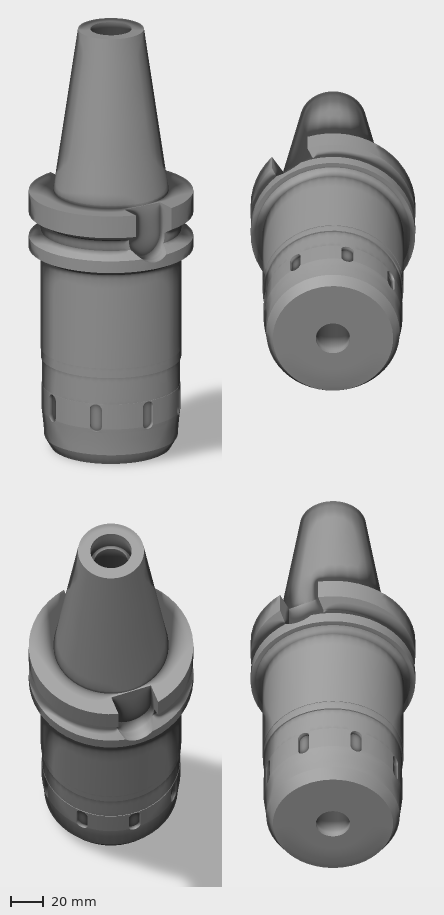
import cadquery as cq
import math


total_height = 266.8
gauge_height = 165.0
gauge_radius = 35.0
taper_ratio = 7 / 24
small_end_radius = gauge_radius - (total_height - gauge_height) * taper_ratio / 2

flange_diameter = 100.0
flange_radius = flange_diameter / 2
flange_top = 163.3
flange_bottom = 127.0
groove_radius = 42.7
groove_top = 145.1
groove_bottom = 138.7
groove_side_angle = 30
groove_side_height = (flange_radius - groove_radius) * math.tan(math.radians(groove_side_angle))

drive_slot_count = 2
drive_slot_width = 25.5
drive_slot_floor = 35.5
drive_slot_bottom = 131.3

end_ring_radius = 42.7
body_radius = 43.0
body_top = 123.3
body_bottom = 63.2
end_ring_bottom = 57.0
underside_radius = 47.0

collar_radius = 42.0
nut_radius = 42.2
nut_top = 40.0
nut_band_bottom = 24.0
skirt_top = 21.5
skirt_top_radius = 42.0
skirt_mid_radius = 41.0
skirt_bottom = 7.0
skirt_bottom_radius = 40.5
nose_radius = 36.5

spanner_slot_count = 8
spanner_slot_width = 7.5
spanner_slot_top = 39.8
spanner_slot_bottom = 22.1
spanner_slot_floor = 39.5

cutter_clearance = 2.7

bore_radius = 10.5
counterbore_radius = 12.5
counterbore_depth = 13.0


def make_turned_body():
    return (
        cq.Workplane("XZ")
        .lineTo(nose_radius, 0)
        .lineTo(skirt_bottom_radius, skirt_bottom)
        .threePointArc(
            (skirt_mid_radius, (skirt_bottom + skirt_top) / 2),
            (skirt_top_radius, skirt_top),
        )
        .lineTo(nut_radius, nut_band_bottom)
        .lineTo(nut_radius, nut_top)
        .lineTo(collar_radius, nut_top)
        .lineTo(collar_radius, end_ring_bottom)
        .lineTo(end_ring_radius, end_ring_bottom)
        .lineTo(end_ring_radius, body_bottom)
        .lineTo(body_radius, body_bottom)
        .lineTo(body_radius, body_top)
        .lineTo(underside_radius, flange_bottom)
        .lineTo(flange_radius, flange_bottom)
        .lineTo(flange_radius, groove_bottom - groove_side_height)
        .lineTo(groove_radius, groove_bottom)
        .lineTo(groove_radius, groove_top)
        .lineTo(flange_radius, groove_top + groove_side_height)
        .lineTo(flange_radius, flange_top)
        .lineTo(gauge_radius, flange_top)
        .lineTo(gauge_radius, gauge_height)
        .lineTo(small_end_radius, total_height)
        .lineTo(0, total_height)
        .close()
        .revolve(360, (0, 0), (0, 1))
    )


def make_round_ended_slot(width, bottom, top, floor, outer):
    """Cutter along +X with a half-round at each end of its height."""
    return (
        cq.Workplane("YZ", origin=(floor, 0, (bottom + top) / 2))
        .slot2D(top - bottom, width, 90)
        .extrude(outer - floor)
    )


def cut_around(body, cutter, count):
    for index in range(count):
        body = body.cut(cutter.rotate((0, 0, 0), (0, 0, 1), index * 360 / count))
    return body


def cut_bore(body):
    return (
        body.faces(">Z")
        .workplane(origin=(0, 0, 0))
        .cboreHole(2 * bore_radius, 2 * counterbore_radius, counterbore_depth)
    )


result = make_turned_body()

drive_slot = make_round_ended_slot(
    drive_slot_width,
    drive_slot_bottom,
    flange_top + drive_slot_width,
    drive_slot_floor,
    flange_radius + cutter_clearance,
)
result = cut_around(result, drive_slot, drive_slot_count)

spanner_slot = make_round_ended_slot(
    spanner_slot_width,
    spanner_slot_bottom,
    spanner_slot_top,
    spanner_slot_floor,
    nut_radius + cutter_clearance,
)
result = cut_around(result, spanner_slot, spanner_slot_count)
result = cut_bore(result)